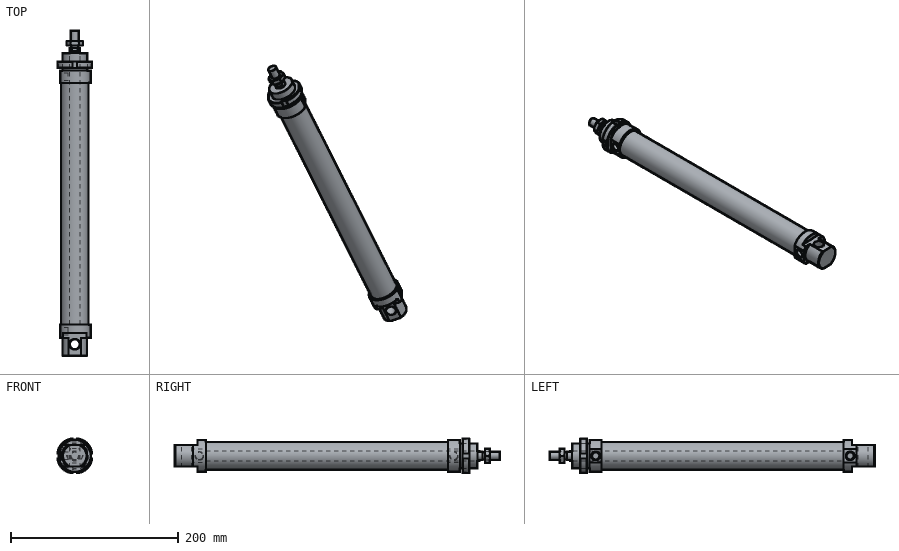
import cadquery as cq
import math

LENGTH = 389.0

TUBE_DIAMETER = 33.5
CAP_DIAMETER = 38.5
NECK_DIAMETER = 30.0
REAR_CAP_START = 21.8
REAR_CAP_END = 37.5
FRONT_CAP_START = 326.8
FRONT_CAP_END = 341.0
NECK_END = 362.0

PORT_FACE_X = -17.5
PORT_DIAMETER = 9.0
PORT_MOUTH_DIAMETER = 10.0
PORT_DEPTH = 9.7

TONGUE_THICKNESS = 26.0
TONGUE_FLAT_END = 27.2
TONGUE_CHAMFER = 0.8
PIVOT_DIAMETER = 12.0
PIVOT_Y = 14.0

NECK_NUT_DIAMETER = 42.0
NECK_NUT_START = 344.3
NECK_NUT_WIDTH = 8.0
SLOT_COUNT = 4
SLOT_WIDTH = 6.0
SLOT_DEPTH = 1.5
NECK_NUT_CHAMFER = 0.6

ROD_DIAMETER = 12.0
ROD_START = REAR_CAP_END
ROD_END = 368.5
ROD_FLATS = 10.0
ROD_FLATS_LENGTH = 4.0
UNDERCUT_DIAMETER = 9.0
THREAD_DIAMETER = 10.0
THREAD_START = 371.0

HEX_FLATS = 17.0
HEX_NUT_WIDTH = 6.0
HEX_NUT_START = THREAD_START
HEX_CHAMFER = 0.8


def cylinder(diameter, start, end):
    """Cylinder on the Y axis between two Y positions."""
    return cq.Workplane("XZ", origin=(0, start, 0)).circle(diameter / 2).extrude(start - end)


def block(size_x, size_y, size_z, center):
    """Box centred on a point."""
    return cq.Workplane("XY", origin=center).box(size_x, size_y, size_z)


def make_cap(start, end):
    """Round cap with a flat on its -X side, and the cutter for its countersunk port."""
    port_y = (start + end) / 2
    beyond = CAP_DIAMETER
    flat_cutter = block(beyond, beyond, beyond, (PORT_FACE_X - beyond / 2, port_y, 0))
    port = (
        cq.Workplane("YZ", origin=(PORT_FACE_X, port_y, 0))
        .circle(PORT_DIAMETER / 2)
        .extrude(PORT_DEPTH)
    )
    mouth_depth = (PORT_MOUTH_DIAMETER - PORT_DIAMETER) / 2
    mouth = cq.Workplane(
        cq.Solid.makeCone(
            PORT_MOUTH_DIAMETER / 2,
            PORT_DIAMETER / 2,
            mouth_depth,
            pnt=cq.Vector(PORT_FACE_X, port_y, 0),
            dir=cq.Vector(1, 0, 0),
        )
    )
    return cylinder(CAP_DIAMETER, start, end).cut(flat_cutter), port.union(mouth)


def make_housing():
    """Tube with its caps, threaded neck and rear tongue, bored for the rod."""
    rear_cap, rear_port = make_cap(REAR_CAP_START, REAR_CAP_END)
    front_cap, front_port = make_cap(FRONT_CAP_START, FRONT_CAP_END)
    body = (
        cylinder(NECK_DIAMETER, 0, REAR_CAP_END)
        .faces("<Y")
        .edges()
        .chamfer(TONGUE_CHAMFER)
        .union(rear_cap)
        .union(cylinder(TUBE_DIAMETER, REAR_CAP_END, FRONT_CAP_START))
        .union(front_cap)
        .union(cylinder(NECK_DIAMETER, FRONT_CAP_END, NECK_END))
    )
    for side in (-1, 1):
        flat_z = side * (TONGUE_THICKNESS + CAP_DIAMETER) / 2
        flat_cutter = block(CAP_DIAMETER, TONGUE_FLAT_END, CAP_DIAMETER, (0, TONGUE_FLAT_END / 2, flat_z))
        body = body.cut(flat_cutter)
    pivot_hole = (
        cq.Workplane("XY", origin=(0, PIVOT_Y, 0))
        .circle(PIVOT_DIAMETER / 2)
        .extrude(TONGUE_THICKNESS / 2, both=True)
    )
    rod_bore = cylinder(ROD_DIAMETER, ROD_START, NECK_END)
    return body.cut(pivot_hole).cut(rear_port).cut(front_port).cut(rod_bore)


def make_neck_nut():
    """Round nut with slots spaced evenly around its rim."""
    end = NECK_NUT_START + NECK_NUT_WIDTH
    nut = cylinder(NECK_NUT_DIAMETER, NECK_NUT_START, end)
    nut = nut.faces("<Y or >Y").edges().chamfer(NECK_NUT_CHAMFER)
    nut = nut.cut(cylinder(NECK_DIAMETER, NECK_NUT_START, end))
    slot_center = (NECK_NUT_DIAMETER / 2, (NECK_NUT_START + end) / 2, 0)
    slot = block(2 * SLOT_DEPTH, NECK_NUT_WIDTH, SLOT_WIDTH, slot_center)
    for index in range(SLOT_COUNT):
        nut = nut.cut(slot.rotate((0, 0, 0), (0, 1, 0), index * 360 / SLOT_COUNT))
    return nut


def make_rod():
    """Piston rod with wrench flats, an undercut and a threaded tip."""
    rod = (
        cylinder(ROD_DIAMETER, ROD_START, ROD_END)
        .union(cylinder(UNDERCUT_DIAMETER, ROD_END, THREAD_START))
        .union(cylinder(THREAD_DIAMETER, THREAD_START, LENGTH))
    )
    for side in (-1, 1):
        flat_center = (0, ROD_END - ROD_FLATS_LENGTH / 2, side * (ROD_FLATS + ROD_DIAMETER) / 2)
        rod = rod.cut(block(ROD_DIAMETER, ROD_FLATS_LENGTH, ROD_DIAMETER, flat_center))
    return rod


def make_hex_nut():
    """Hexagon nut with corners on the X axis, chamfered at both ends."""
    corners = HEX_FLATS / math.cos(math.pi / 6)
    end = HEX_NUT_START + HEX_NUT_WIDTH
    hexagon = (
        cq.Workplane("XZ", origin=(0, HEX_NUT_START, 0))
        .polygon(6, corners)
        .extrude(-HEX_NUT_WIDTH)
    )
    chamfered_envelope = cylinder(corners, HEX_NUT_START, end).edges().chamfer(HEX_CHAMFER)
    return hexagon.intersect(chamfered_envelope).cut(cylinder(THREAD_DIAMETER, HEX_NUT_START, end))


housing = make_housing()
neck_nut = make_neck_nut()
rod = make_rod()
hex_nut = make_hex_nut()

result = cq.Compound.makeCompound([housing.val(), neck_nut.val(), rod.val(), hex_nut.val()])